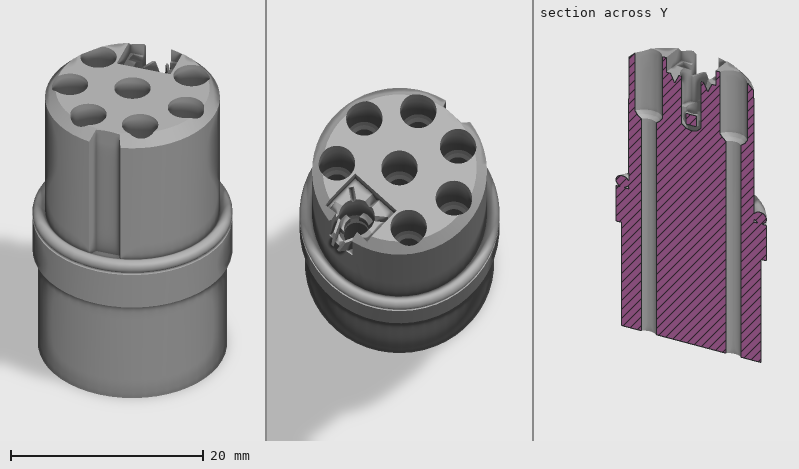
import cadquery as cq
import math

total_height = 32.65
skirt_diameter = 19.7
flange_diameter = 20.8
flange_bottom = 12.0
flange_top = 16.2
neck_diameter = 18.2
top_chamfer_height = 1.15
top_chamfer_width = 1.08

ring_thickness = 1.37
ring_overlap = 0.03

outer_bore_count = 7
bore_circle_radius = 6.53
bore_mouth_diameter = 3.8
bore_waist_diameter = 3.3
bore_exit_diameter = 2.6
bore_mouth_depth = 7.18
bore_steep_taper = 0.4

keyway_floor = 8.03
keyway_floor_width = 2.55
keyway_mouth_width = 3.43
keyway_bottom = 16.98

pocket_width = 5.9
pocket_near = 3.6
pocket_far = 8.05
pocket_depth = 1.7
window_width = 3.0
window_bottom = 26.77
window_flare = 0.25
window_flare_start = 8.75

ramp_outer_x = 2.78
ramp_near = 6.82
ramp_width = 1.3
ramp_length = 1.08
ramp_drop = 0.6
ramp_turn = 10.0

center_groove_width = 0.98
side_groove_width = 0.6
groove_depth = 0.98
side_groove_reach = 3.25
side_groove_angle = 37.0

latch_bore_floor = total_height - bore_mouth_depth
side_ledge_near = 6.15
side_ledge_far = 7.6
front_ledge_width = 1.37

fin_thickness = 0.3
fin_top = 29.7
fin_shoulder = 9.1
fin_tip = 9.8
fin_tip_height = 27.65
fin_root = 7.65
fin_root_x = 1.4
fin_tip_x = 0.4


def cylinder(diameter, bottom, top, x=0.0, y=0.0):
    """Upright cylinder between two heights."""
    base = cq.Workplane("XY").workplane(offset=bottom)
    return base.center(x, y).circle(diameter / 2).extrude(top - bottom)


def box(x_min, x_max, y_min, y_max, bottom, top):
    """Axis-aligned box given by its limits."""
    size = (x_max - x_min, y_max - y_min, top - bottom)
    return cq.Workplane("XY").box(*size, centered=False).translate((x_min, y_min, bottom))


def revolve_profile(points):
    """Full turn of a closed radius-height outline about the Z axis."""
    return cq.Workplane("XZ").polyline(points).close().revolve(360, (0, 0), (0, 1))


def make_sealing_ring():
    section_radius = ring_thickness / 2
    path_radius = flange_diameter / 2 - section_radius
    section = cq.Workplane("XZ").center(-path_radius, 0).circle(section_radius)
    ring = section.revolve(360, (path_radius, 0), (path_radius, 1))
    return ring.translate((0, 0, flange_top + section_radius - ring_overlap))


def make_body():
    """Skirt, flange and chamfered neck with its keyway, plus the sealing ring."""
    skirt = cylinder(skirt_diameter, 0, flange_bottom)
    flange = cylinder(flange_diameter, flange_bottom, flange_top)
    neck_profile = [
        (0, flange_top),
        (neck_diameter / 2, flange_top),
        (neck_diameter / 2, total_height - top_chamfer_height),
        (neck_diameter / 2 - top_chamfer_width, total_height),
        (0, total_height),
    ]
    neck = revolve_profile(neck_profile).cut(make_keyway())
    return skirt.union(flange).union(neck).union(make_sealing_ring())


def make_bore(x, y):
    """Contact bore: a straight mouth, a steep taper, a 45 degree taper, then a straight exit."""
    mouth_bottom = total_height - bore_mouth_depth
    waist_height = mouth_bottom - bore_steep_taper
    exit_height = waist_height - (bore_waist_diameter - bore_exit_diameter) / 2
    profile = [
        (0, 0),
        (bore_exit_diameter / 2, 0),
        (bore_exit_diameter / 2, exit_height),
        (bore_waist_diameter / 2, waist_height),
        (bore_mouth_diameter / 2, mouth_bottom),
        (bore_mouth_diameter / 2, total_height),
        (0, total_height),
    ]
    return revolve_profile(profile).translate((x, y, 0))


def make_keyway():
    """Flared slot; its side walls keep their slope beyond the neck surface."""
    mouth_x = keyway_mouth_width / 2
    floor_x = keyway_floor_width / 2
    mouth_y = math.sqrt((neck_diameter / 2) ** 2 - mouth_x**2)
    flare = (mouth_x - floor_x) / (mouth_y - keyway_floor)
    outside_y = flange_diameter / 2
    outside_x = floor_x + flare * (outside_y - keyway_floor)
    outline = [
        (-floor_x, -keyway_floor),
        (floor_x, -keyway_floor),
        (outside_x, -outside_y),
        (-outside_x, -outside_y),
    ]
    slot = cq.Workplane("XY").workplane(offset=keyway_bottom).polyline(outline).close()
    slot = slot.extrude(total_height - keyway_bottom)
    return slot.intersect(cylinder(neck_diameter, keyway_bottom, total_height))


def make_groove(width, reach):
    """V groove running from the latch bore axis along +X, open at the pocket floor."""
    floor = total_height - pocket_depth
    vee = [(-width / 2, floor), (width / 2, floor), (0, floor - groove_depth)]
    return cq.Workplane("YZ").polyline(vee).close().extrude(reach)


def make_ramp(side):
    """Wedge that falls outwards from the pocket floor, turned a little towards the latch bore."""
    floor = total_height - pocket_depth
    section = [(0, floor), (ramp_length, floor), (ramp_length, floor - ramp_drop)]
    ramp = cq.Workplane("YZ").polyline(section).close().extrude(-side * ramp_width)
    ramp = ramp.rotate((0, 0, 0), (0, 0, 1), side * ramp_turn)
    return ramp.translate((side * ramp_outer_x, ramp_near, 0))


def make_latch_cutout():
    """Pocket, flared window through the neck wall, ramps and V grooves."""
    floor = total_height - pocket_depth
    half_pocket = pocket_width / 2
    half_window = window_width / 2
    pocket = box(-half_pocket, half_pocket, pocket_near, pocket_far, floor, total_height)
    flare_x = half_window + window_flare
    flare_y = window_flare_start + window_flare
    half_outline = [
        (half_window, bore_circle_radius),
        (half_window, window_flare_start),
        (flare_x, flare_y),
        (flare_x, flange_diameter / 2),
    ]
    outline = half_outline + [(-x, y) for x, y in reversed(half_outline)]
    window = cq.Workplane("XY").workplane(offset=window_bottom).polyline(outline).close()
    cutout = pocket.union(window.extrude(total_height - window_bottom))

    for side in (-1, 1):
        cutout = cutout.union(make_ramp(side))

    grooves = [
        (center_groove_width, bore_circle_radius - pocket_near, -90),
        (side_groove_width, side_groove_reach, -side_groove_angle),
        (side_groove_width, side_groove_reach, side_groove_angle - 180),
    ]
    for width, reach, angle in grooves:
        groove = make_groove(width, reach).rotate((0, 0, 0), (0, 0, 1), angle)
        cutout = cutout.union(groove.translate((0, bore_circle_radius, 0)))
    return cutout


def make_ledges():
    """Partial ring inside the latch bore: one ledge on each side and one towards the middle."""
    bottom = latch_bore_floor
    y = bore_circle_radius
    ring = cylinder(bore_mouth_diameter, bottom, window_bottom, 0, y)
    ring = ring.cut(cylinder(bore_exit_diameter, bottom, window_bottom, 0, y))
    reach = bore_mouth_diameter / 2
    sides = box(-reach, reach, side_ledge_near, side_ledge_far, bottom, window_bottom)
    half_front = front_ledge_width / 2
    front = box(-half_front, half_front, y - reach, y, bottom, window_bottom)
    return ring.intersect(sides.union(front))


def make_fins():
    """Thin barbed plates in the window, mirrored about the YZ plane."""
    side = [
        (fin_root, latch_bore_floor),
        (fin_shoulder - fin_thickness, latch_bore_floor),
        (fin_shoulder - fin_thickness, window_bottom),
        (fin_tip, fin_tip_height),
        (fin_shoulder, fin_top),
        (fin_root, fin_top),
    ]
    barb = cq.Workplane("YZ").polyline(side).close().extrude(flange_diameter / 2)
    half = fin_thickness / 2
    plan = [
        (fin_root_x - half, fin_root),
        (fin_root_x + half, fin_root),
        (fin_tip_x + half, fin_tip),
        (fin_tip_x - half, fin_tip),
    ]
    plate = cq.Workplane("XY").polyline(plan).close().extrude(total_height)
    fin = plate.intersect(barb)
    return fin.union(fin.mirror("YZ"))


result = make_body()
result = result.cut(make_bore(0, 0))
for index in range(outer_bore_count):
    bore_angle = math.radians(90 + index * 360 / outer_bore_count)
    bore_x = bore_circle_radius * math.cos(bore_angle)
    bore_y = bore_circle_radius * math.sin(bore_angle)
    result = result.cut(make_bore(bore_x, bore_y))
result = result.cut(make_latch_cutout())
result = result.union(make_ledges())
result = result.union(make_fins())